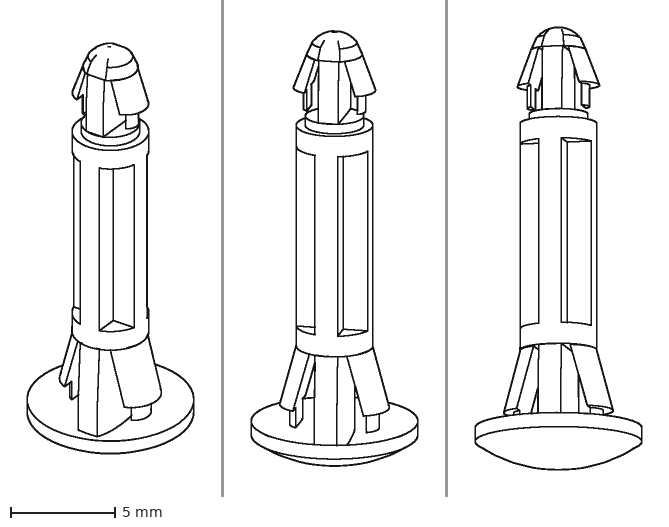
import cadquery as cq

TOTAL_HEIGHT = 21.45
LOWER_LEG_BOTTOM = 2.72
BODY_BOTTOM = 5.73
BODY_TOP = 16.77
LEDGE_TOP = 17.25
BARB_BOTTOM = 18.6
NOSE_RIM = 20.33
NOSE_ARC_END = 20.91

FOOT_RADIUS = 8.0 / 2
FOOT_DEPTH = 1.27
FOOT_THICKNESS = 0.69

BODY_RADIUS = 3.7 / 2
LEDGE_RADIUS = 2.8 / 2
RIB_THICKNESS = 1.12
WINDOW_MARGIN = 1.03

LOWER_BLADE_TOP_WIDTH = 3.47
LOWER_BLADE_WIDTH = 3.82
LOWER_LEG_INNER_TOP = 0.9
LOWER_LEG_INNER_BOTTOM = 1.74
LOWER_LEG_OUTER_BOTTOM = 2.65
LOWER_LEG_WIDTH = 2.7
LOWER_TAB_THICKNESS = 0.45
LOWER_TAB_WIDTH = 1.5
LOWER_TAB_LENGTH = 1.0

UPPER_BLADE_THICKNESS = 0.99
UPPER_BLADE_TOP_WIDTH = 2.42
UPPER_BLADE_WIDTH = 2.68
NOSE_RIM_RADIUS = 1.33
NOSE_ARC_RADIUS = 1.07
NOSE_SHOULDER_HALF_WIDTH = 0.97
NOSE_MID_HEIGHT = 21.3
NOSE_MID_RADIUS = 0.6
NOSE_MID_HALF_WIDTH = 0.54
BARB_INNER_TOP = 0.73
BARB_INNER_BOTTOM = 1.25
BARB_OUTER_BOTTOM = 2.0
BARB_WIDTH = 2.05
BARB_TAB_THICKNESS = 0.28
BARB_TAB_WIDTH = 0.99
BARB_TAB_LENGTH = 1.05


def make_foot():
    """Disc of constant height, domed below and dished to match above."""
    return (
        cq.Workplane("XZ")
        .moveTo(0, 0)
        .threePointArc(foot_arc_middle(0), (FOOT_RADIUS, FOOT_DEPTH))
        .lineTo(FOOT_RADIUS, FOOT_DEPTH + FOOT_THICKNESS)
        .threePointArc(foot_arc_middle(FOOT_THICKNESS), (0, FOOT_THICKNESS))
        .close()
        .revolve(360, (0, 0, 0), (0, 1, 0))
    )


def foot_arc_middle(lift):
    """Point at half the foot radius on the spherical dish, raised by lift."""
    sphere_radius = (FOOT_RADIUS**2 + FOOT_DEPTH**2) / (2 * FOOT_DEPTH)
    half_radius = FOOT_RADIUS / 2
    rise = sphere_radius - (sphere_radius**2 - half_radius**2) ** 0.5
    return (half_radius, lift + rise)


def cylinder(radius, bottom, top):
    return cq.Workplane("XY").workplane(offset=bottom).circle(radius).extrude(top - bottom)


def make_body():
    """Round body with a ledge, pocketed in each quadrant."""
    body = cylinder(BODY_RADIUS, BODY_BOTTOM, BODY_TOP)
    window_bottom = BODY_BOTTOM + WINDOW_MARGIN
    window_height = BODY_TOP - BODY_BOTTOM - 2 * WINDOW_MARGIN
    center = RIB_THICKNESS / 2 + BODY_RADIUS / 2
    windows = (
        cq.Workplane("XY")
        .workplane(offset=window_bottom)
        .rect(2 * center, 2 * center, forConstruction=True)
        .vertices()
        .rect(BODY_RADIUS, BODY_RADIUS)
        .extrude(window_height)
    )
    return body.cut(windows).union(cylinder(LEDGE_RADIUS, BODY_TOP, LEDGE_TOP))


def make_blade(thickness, bottom, kink, top, width, top_width):
    """Flat blade across Y: straight up to the kink, then tapering to the top."""
    return (
        cq.Workplane("YZ")
        .polyline([
            (-width / 2, bottom),
            (width / 2, bottom),
            (width / 2, kink),
            (top_width / 2, top),
            (-top_width / 2, top),
            (-width / 2, kink),
        ])
        .close()
        .extrude(thickness / 2, both=True)
    )


def bowed_section(plane, inner, outer, width):
    """Section with a flat inner side and an outer side bowed towards +X."""
    return (
        plane.moveTo(inner, -width / 2)
        .threePointArc((outer, 0), (inner, width / 2))
        .close()
    )


def make_leg(top, bottom, inner_top, outer_top, inner_bottom, outer_bottom, width,
             tab_thickness, tab_width, tab_length):
    """Splayed spring leg on the +X side with a narrow tab below it."""
    lower = bowed_section(
        cq.Workplane("XY").workplane(offset=bottom), inner_bottom, outer_bottom, width
    )
    leg = bowed_section(
        lower.workplane(offset=top - bottom), inner_top, outer_top, width
    ).loft(ruled=True)
    tab = bowed_section(
        cq.Workplane("XY").workplane(offset=bottom - tab_length),
        inner_bottom, inner_bottom + tab_thickness, tab_width,
    ).extrude(tab_length)
    return leg.union(tab)


def make_nose():
    """Round nose whose -Y and +Y sides are trimmed to a narrower profile."""
    round_nose = (
        cq.Workplane("XZ")
        .moveTo(0, NOSE_RIM)
        .lineTo(NOSE_RIM_RADIUS, NOSE_RIM)
        .lineTo(NOSE_ARC_RADIUS, NOSE_ARC_END)
        .threePointArc((NOSE_MID_RADIUS, NOSE_MID_HEIGHT), (0, TOTAL_HEIGHT))
        .close()
        .revolve(360, (0, 0, 0), (0, 1, 0))
    )
    rim_half_width = UPPER_BLADE_TOP_WIDTH / 2
    trim = (
        cq.Workplane("YZ")
        .moveTo(-rim_half_width, NOSE_RIM)
        .lineTo(rim_half_width, NOSE_RIM)
        .lineTo(NOSE_SHOULDER_HALF_WIDTH, NOSE_ARC_END)
        .threePointArc((NOSE_MID_HALF_WIDTH, NOSE_MID_HEIGHT), (0, TOTAL_HEIGHT))
        .threePointArc((-NOSE_MID_HALF_WIDTH, NOSE_MID_HEIGHT),
                       (-NOSE_SHOULDER_HALF_WIDTH, NOSE_ARC_END))
        .close()
        .extrude(NOSE_RIM_RADIUS, both=True)
    )
    return round_nose.intersect(trim)


def make_post(foot):
    """Post with blades, legs and barbs, seated on the dish of the foot."""
    lower_blade = make_blade(
        RIB_THICKNESS, FOOT_THICKNESS / 2, LOWER_LEG_BOTTOM, BODY_BOTTOM,
        LOWER_BLADE_WIDTH, LOWER_BLADE_TOP_WIDTH,
    ).cut(foot)
    lower_blade = lower_blade.solids(">Z")
    upper_blade = make_blade(
        UPPER_BLADE_THICKNESS, LEDGE_TOP, BARB_BOTTOM, NOSE_RIM,
        UPPER_BLADE_WIDTH, UPPER_BLADE_TOP_WIDTH,
    )
    lower_leg = make_leg(
        BODY_BOTTOM, LOWER_LEG_BOTTOM, LOWER_LEG_INNER_TOP, BODY_RADIUS,
        LOWER_LEG_INNER_BOTTOM, LOWER_LEG_OUTER_BOTTOM, LOWER_LEG_WIDTH,
        LOWER_TAB_THICKNESS, LOWER_TAB_WIDTH, LOWER_TAB_LENGTH,
    )
    barb = make_leg(
        NOSE_RIM, BARB_BOTTOM, BARB_INNER_TOP, NOSE_RIM_RADIUS,
        BARB_INNER_BOTTOM, BARB_OUTER_BOTTOM, BARB_WIDTH,
        BARB_TAB_THICKNESS, BARB_TAB_WIDTH, BARB_TAB_LENGTH,
    )
    post = make_body().union(lower_blade).union(upper_blade).union(make_nose())
    for leg in (lower_leg, barb):
        post = post.union(leg).union(leg.mirror("YZ"))
    return post


foot = make_foot()
post = make_post(foot)

result = cq.Compound.makeCompound([foot.val(), *post.solids().vals()])